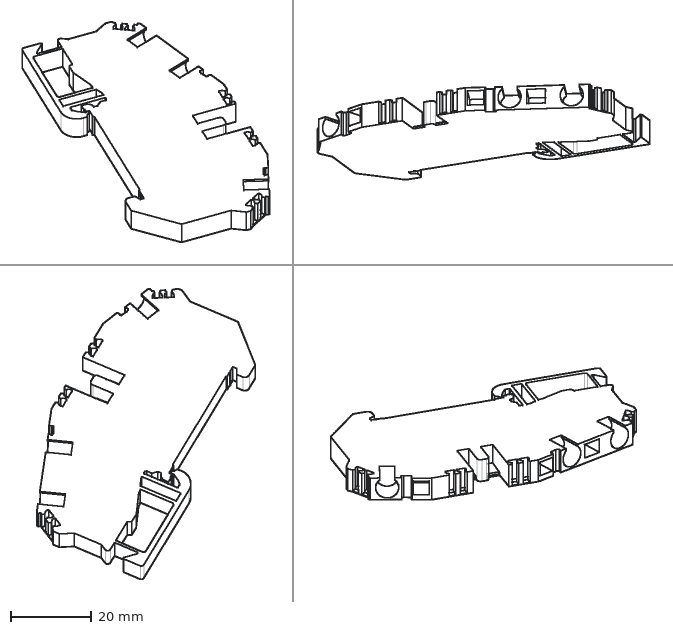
import cadquery as cq
import math

LENGTH = 78.5
HEIGHT = 41.5
THICKNESS = 6.1

SHOULDER_AXIS_X = 46.5
SHOULDER_ANGLE = math.radians(20)

SLOT_LEFT, SLOT_RIGHT = 40.1, 49.5
SLOT_BOTTOM = 29.8
SLOT_LEDGE_TOP = 35.0
SLOT_LEDGE_BEVEL = 0.5
SLOT_LEDGE_BACK_Z = 1.0
SLOT_LEDGE_FRONT_Z = 0.8
SLOT_LEDGE_LIP_Z = 0.5
POST_LEFT, POST_RIGHT = 43.3, 46.4
POST_TOP = 36.5
POST_CORNER_RADIUS = 0.95

BASE_TOP = 1.4
BASE_LEFT = 0.6
BASE_CORNER_RADIUS = 0.7
WINDOW_CORNER_RADIUS = 0.6
BODY_UNDERSIDE = 7.1
LEFT_STRUT = (3.9, 4.6)
MIDDLE_STRUT = (20.95, 21.9)
RIGHT_STRUT = (24.5, 25.6)
STRUT_TOP = 12.3
CLIP_RIGHT = 30.5
CLIP_RADIUS = 4.3
LEFT_LEDGE_Y = 9.5
LEFT_LUG_RADIUS = 0.8

FOOT_LEFT = 62.3
FOOT_BOTTOM = 2.1
FOOT_RADIUS = 1.2

BODY_TIP_RADIUS = 1.9
BODY_TIP_TOP = (27.0, 8.25)

ENTRY_Z = 3.4
ENTRY_DEPTH = 6.4
ENTRY_CLEARANCE = 0.8
SCREW_HOLE_DIAMETER = 5.7
SCREW_OPENING_WIDTH = 3.8
WIRE_ENTRY_HEIGHT = 3.8
LOWER_WIRE_ENTRY_WIDTH = 4.7
UPPER_WIRE_ENTRY_WIDTH = 4.1
OUTER_SCREW_HOLE = (7.3, 32.35)
INNER_SCREW_HOLE = (21.9, 37.7)
LOWER_WIRE_ENTRY = (15.7, 35.4)
UPPER_WIRE_ENTRY = (29.8, 40.75)

SOCKET_DIAMETER = 2.4
SOCKET_CENTRE_DEPTH = 1.8
SOCKET_BACK_DEPTH = 2.2
SOCKET_NECK_DEPTH = 0.7
SOCKET_NECK_WIDTH = 1.2
SOCKET_MOUTH_WIDTH = 1.8
SOCKET_FLOOR_Z = 0.7
SOCKET_MOUTH_Z = 0.2
SOCKET_PITCH = 3.0

LEFT_FACE = ((3.2, 29.5), (0.7, 25.1))
RIGHT_FACE = ((75.0, 35.2), (77.55, 30.7))


def mirrored(point):
    """Point on the other side of the shoulder axis."""
    x, y = point
    return (2 * SHOULDER_AXIS_X - x, y)


LEFT_SHOULDER = [
    (25.35, 38.85),
    (25.4, 37.8),
    (26.3, 37.8),
    (27.95, 38.6),
    (27.95, 39.0),
    (27.7, 39.2),
    (27.7, 39.9),
    (32.3, HEIGHT),
]


def draw_lines(sketch, points):
    for point in points:
        sketch = sketch.lineTo(*point)
    return sketch


def make_body():
    right_shoulder = [mirrored(point) for point in reversed(LEFT_SHOULDER)]
    left_end_and_top = [
        (1.9, 12.2), (1.9, 19.7),
        (0, 22.9), (0, 24.65), LEFT_FACE[1], LEFT_FACE[0],
        (3.5, 30.0), (3.1, 30.4), (3.3, 30.9),
    ]
    right_end = [
        (75.05, 36.2), (75.3, 35.7), RIGHT_FACE[0], RIGHT_FACE[1],
        (LENGTH, 29.6), (LENGTH, 28.4), (76.45, 25.1), (76.45, 11.8), (66.95, FOOT_BOTTOM),
    ]
    foot_and_underside = [
        (FOOT_LEFT, 5.0), (63.9, 5.8), (63.9, 6.8), (62.6, 6.8), (62.3, 6.6), (62.1, 6.8),
        (60.7, 6.8), (60.7, BODY_UNDERSIDE), (31.25, BODY_UNDERSIDE), (30.9, 6.6),
        (30.7, 6.75), (28.6, 6.75), (28.6, 5.9), (27.55, 5.9), (27.55, 5.65), (26.1, 5.65), (26.1, 6.8),
    ]
    channel_and_clip = [
        (27.6, 8.4), (27.6, 9.4), (26.5, 10.5), (26.5, 12.0), (26.2, STRUT_TOP),
        (RIGHT_STRUT[1], STRUT_TOP), (RIGHT_STRUT[1], 3.15), (25.75, 2.8), (26.8, 2.8),
        (27.6, 3.8), (28.7, 5.6), (28.7, 6.5), (29.3, 6.5), (29.7, 5.8), (30.45, 5.4),
        (CLIP_RIGHT, CLIP_RADIUS),
    ]
    clip_centre_x = CLIP_RIGHT - CLIP_RADIUS
    left_hook = [
        (BASE_LEFT, 5.2), (0.95, 5.5), (3.4, 3.1), (LEFT_STRUT[0], 3.1),
    ]

    sketch = cq.Workplane("XY").moveTo(LEFT_STRUT[0], LEFT_LEDGE_Y)
    sketch = sketch.lineTo(1.65, LEFT_LEDGE_Y).radiusArc((1.0, 10.7), LEFT_LUG_RADIUS)
    sketch = draw_lines(sketch, left_end_and_top + LEFT_SHOULDER + right_shoulder + right_end)
    sketch = sketch.lineTo(FOOT_LEFT + FOOT_RADIUS, FOOT_BOTTOM)
    sketch = sketch.radiusArc((FOOT_LEFT, FOOT_BOTTOM + FOOT_RADIUS), FOOT_RADIUS)
    sketch = draw_lines(sketch, foot_and_underside)
    sketch = sketch.radiusArc(BODY_TIP_TOP, BODY_TIP_RADIUS)
    sketch = draw_lines(sketch, channel_and_clip)
    sketch = sketch.radiusArc((clip_centre_x, 0), CLIP_RADIUS)
    sketch = sketch.lineTo(BASE_LEFT + BASE_CORNER_RADIUS, 0)
    sketch = sketch.radiusArc((BASE_LEFT, BASE_CORNER_RADIUS), BASE_CORNER_RADIUS)
    sketch = draw_lines(sketch, left_hook)
    return sketch.close().extrude(THICKNESS)


def make_foot_windows():
    """Two through openings between the struts of the rail foot."""
    left_window = [
        (LEFT_STRUT[1], BASE_TOP), (LEFT_STRUT[1], LEFT_LEDGE_Y), (10.8, LEFT_LEDGE_Y),
        (11.4, 8.5), (13.9, 8.5), (19.7, 10.75), (MIDDLE_STRUT[0], 10.9), (MIDDLE_STRUT[0], BASE_TOP),
    ]
    right_window = [
        (MIDDLE_STRUT[1], BASE_TOP), (MIDDLE_STRUT[1], 11.4), (23.55, 12.2),
        (RIGHT_STRUT[0], STRUT_TOP), (RIGHT_STRUT[0], BASE_TOP),
    ]
    left = cq.Workplane("XY").polyline(left_window).close().extrude(THICKNESS)
    left = left.edges("|Z and <Y").fillet(WINDOW_CORNER_RADIUS)
    right = cq.Workplane("XY").polyline(right_window).close().extrude(THICKNESS)
    return left.union(right)


def make_slot():
    """Slot open at the top, with a thin, gently sloping ledge behind and a full-height post."""
    bevel_y = SLOT_LEDGE_TOP - SLOT_LEDGE_BEVEL
    side_profile = [
        (SLOT_BOTTOM, THICKNESS), (SLOT_BOTTOM, SLOT_LEDGE_BACK_Z), (bevel_y, SLOT_LEDGE_FRONT_Z),
        (SLOT_LEDGE_TOP, SLOT_LEDGE_LIP_Z), (SLOT_LEDGE_TOP, 0), (HEIGHT, 0), (HEIGHT, THICKNESS),
    ]
    slot = (
        cq.Workplane("YZ", origin=(SLOT_LEFT, 0, 0))
        .polyline(side_profile).close()
        .extrude(SLOT_RIGHT - SLOT_LEFT)
    )
    post = (
        cq.Workplane("XY")
        .moveTo(POST_LEFT, SLOT_BOTTOM)
        .lineTo(POST_RIGHT, SLOT_BOTTOM)
        .lineTo(POST_RIGHT, POST_TOP)
        .lineTo(POST_LEFT, POST_TOP)
        .close()
        .extrude(THICKNESS)
        .edges("|Z and >Y").fillet(POST_CORNER_RADIUS)
    )
    return slot.cut(post)


def shoulder_plane(point, side):
    """Plane on a shoulder pointing into the body; side is 1 on the left, -1 on the right."""
    inward = (side * math.sin(SHOULDER_ANGLE), -math.cos(SHOULDER_ANGLE), 0)
    return cq.Workplane(cq.Plane(origin=(*point, ENTRY_Z), xDir=(0, 0, 1), normal=inward))


def make_screw_hole(point, side):
    """Round hole that breaks out of the +Z face through a parallel-sided opening."""
    plane = shoulder_plane(point, side).workplane(offset=-ENTRY_CLEARANCE)
    depth = ENTRY_DEPTH + ENTRY_CLEARANCE
    opening_height = THICKNESS - ENTRY_Z
    bore = plane.circle(SCREW_HOLE_DIAMETER / 2).extrude(depth)
    opening = plane.center(opening_height / 2, 0).rect(opening_height, SCREW_OPENING_WIDTH).extrude(depth)
    return bore.union(opening)


def make_wire_entry(point, side, width):
    plane = shoulder_plane(point, side).workplane(offset=-ENTRY_CLEARANCE)
    return plane.rect(WIRE_ENTRY_HEIGHT, width).extrude(ENTRY_DEPTH + ENTRY_CLEARANCE)


def make_socket():
    """Marker socket with its mouth centred on the origin and sinking toward -Y."""
    radius = SOCKET_DIAMETER / 2
    half_mouth, half_neck = SOCKET_MOUTH_WIDTH / 2, SOCKET_NECK_WIDTH / 2
    round_part = cq.Workplane("XY").center(0, -SOCKET_CENTRE_DEPTH).circle(radius).extrude(THICKNESS)
    neck = (
        cq.Workplane("XY")
        .polyline([
            (-half_mouth, 0), (half_mouth, 0),
            (half_neck, -SOCKET_NECK_DEPTH), (half_neck, -SOCKET_CENTRE_DEPTH),
            (-half_neck, -SOCKET_CENTRE_DEPTH), (-half_neck, -SOCKET_NECK_DEPTH),
        ])
        .close()
        .extrude(THICKNESS)
    )
    side_profile = [
        (0, THICKNESS), (0, SOCKET_MOUTH_Z), (-SOCKET_NECK_DEPTH, SOCKET_FLOOR_Z),
        (-SOCKET_BACK_DEPTH, SOCKET_FLOOR_Z), (-SOCKET_BACK_DEPTH, THICKNESS),
    ]
    envelope = (
        cq.Workplane("YZ")
        .polyline(side_profile).close()
        .extrude(radius, both=True)
    )
    return round_part.union(neck).intersect(envelope)


def place_sockets(start, end, first_offset):
    """Two sockets along the edge running from start to end."""
    angle = math.atan2(end[1] - start[1], end[0] - start[0])
    sockets = []
    for index in range(2):
        along = first_offset + index * SOCKET_PITCH
        x = start[0] + along * math.cos(angle)
        y = start[1] + along * math.sin(angle)
        turned = make_socket().rotate((0, 0, 0), (0, 0, 1), math.degrees(angle))
        sockets.append(turned.translate((x, y, 0)))
    return sockets


result = make_body().cut(make_foot_windows()).cut(make_slot())

screw_holes = [
    (OUTER_SCREW_HOLE, 1),
    (INNER_SCREW_HOLE, 1),
    (mirrored(INNER_SCREW_HOLE), -1),
]
for point, side in screw_holes:
    result = result.cut(make_screw_hole(point, side))

wire_entries = [
    (LOWER_WIRE_ENTRY, 1, LOWER_WIRE_ENTRY_WIDTH),
    (UPPER_WIRE_ENTRY, 1, UPPER_WIRE_ENTRY_WIDTH),
    (mirrored(UPPER_WIRE_ENTRY), -1, UPPER_WIRE_ENTRY_WIDTH),
]
for point, side, width in wire_entries:
    result = result.cut(make_wire_entry(point, side, width))

socket_rows = [
    (LEFT_FACE[1], LEFT_FACE[0], 1.1),
    (LEFT_SHOULDER[-1], (SLOT_LEFT, HEIGHT), 3.15),
    ((SLOT_RIGHT, HEIGHT), mirrored(LEFT_SHOULDER[-1]), 2.6),
    (RIGHT_FACE[0], RIGHT_FACE[1], 1.3),
]
for start, end, first_offset in socket_rows:
    for socket in place_sockets(start, end, first_offset):
        result = result.cut(socket)